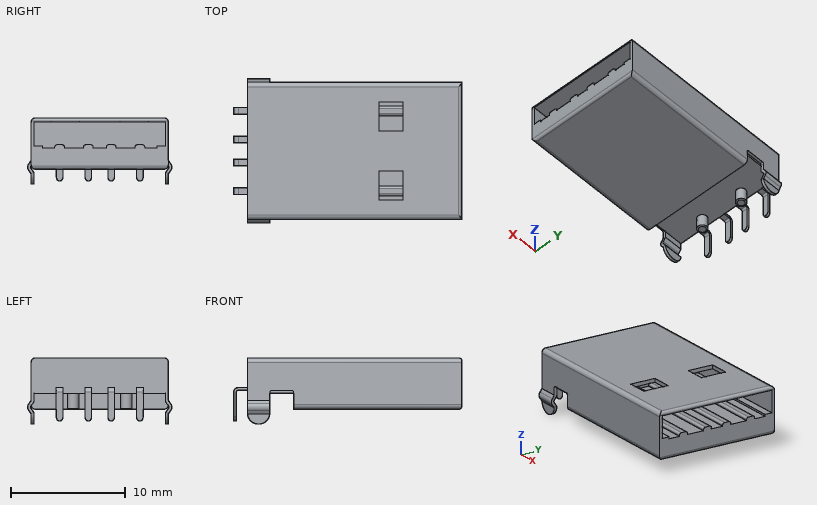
import cadquery as cq
import math

shell_length = 18.73
shell_width = 12.0
shell_height = 4.5
sheet = 0.28
long_edge_radius = 0.4
mouth_edge_radius = 0.28
inner_half_width = shell_width / 2 - sheet

rear_length = 4.04
rear_underside = 1.39
notch_top = 1.63
notch_corner_radius = 0.13

tab_width = 1.97
tab_bottom = -1.3
tab_tip_radius = tab_width / 2
bulge_z = 0.19
bulge_reach = 0.305
bulge_outer_half_height = 0.59
bulge_outer_arc_half = 0.3
bulge_outer_arc_reach = 0.19
bulge_inner_half_height = 0.5
bulge_inner_arc_half = 0.14
bulge_inner_arc_reach = bulge_reach - 0.06

opening_depth = 11.75
opening_start = shell_length - opening_depth
roof_thickness = 0.36
ledge_top = 2.03
tongue_top = 1.85
channel_half_width = 5.0

contact_positions = (-3.5, -1.0, 1.0, 3.5)
contact_width = 0.86
contact_top = 2.15
contact_edge_radius = 0.22
pin_width = 0.6
pin_thickness = 0.25
pin_top = 1.91
pin_reach = 1.2
pin_bottom = -1.03
pin_bend_radius = 0.42
pin_tip_length = 0.39
pin_root = 1.0

window_start = 11.5
window_length = 2.07
window_width = 2.52
window_offset = 3.01

peg_diameter = 1.0
peg_x = 0.9
peg_offset = 2.32
peg_bottom = 0.03
peg_chamfer_height = 0.15
peg_chamfer_inset = 0.05


def block(x_range, y_range, z_range):
    """Box spanning the given (low, high) ranges."""
    lows, highs = zip(x_range, y_range, z_range)
    size = [high - low for low, high in zip(lows, highs)]
    return cq.Workplane("XY").box(*size, centered=False).translate(lows)


def centred(half):
    return (-half, half)


def make_body():
    """Rounded plug block with the rear underside cut away and side notches."""
    half_width = shell_width / 2
    body = block((0, shell_length), centred(half_width), (0, shell_height))
    rounded_mouth = body.edges("|Y and >X").fillet(mouth_edge_radius)
    body = body.edges("|X").fillet(long_edge_radius).intersect(rounded_mouth)
    body = body.cut(block((0, rear_length), centred(inner_half_width), (0, rear_underside)))
    notch = block((tab_width, rear_length), centred(half_width), (-notch_top, notch_top))
    notch = notch.edges("|Y and >Z").fillet(notch_corner_radius)
    rear_core = block((0, rear_length), centred(inner_half_width), (rear_underside, shell_height))
    body = body.cut(notch.cut(rear_core))
    below_tab_bend = block((0, tab_width), centred(half_width), (0, bulge_z + bulge_outer_half_height))
    return body.cut(below_tab_bend.cut(rear_core))


def make_tab():
    """Mounting tab on the +Y side: bulged sheet with a round tip."""
    outer = shell_width / 2
    inner = inner_half_width
    top = rear_underside
    profile = (
        cq.Workplane("YZ")
        .moveTo(inner, top)
        .lineTo(outer, top)
        .lineTo(outer, bulge_z + bulge_outer_half_height)
        .lineTo(outer + bulge_outer_arc_reach, bulge_z + bulge_outer_arc_half)
        .threePointArc(
            (outer + bulge_reach, bulge_z),
            (outer + bulge_outer_arc_reach, bulge_z - bulge_outer_arc_half),
        )
        .lineTo(outer, bulge_z - bulge_outer_half_height)
        .lineTo(outer, tab_bottom)
        .lineTo(inner, tab_bottom)
        .lineTo(inner, bulge_z - bulge_inner_half_height)
        .lineTo(inner + bulge_inner_arc_reach, bulge_z - bulge_inner_arc_half)
        .threePointArc(
            (inner + bulge_reach, bulge_z),
            (inner + bulge_inner_arc_reach, bulge_z + bulge_inner_arc_half),
        )
        .lineTo(inner, bulge_z + bulge_inner_half_height)
        .close()
        .extrude(tab_width)
    )
    side_outline = (
        cq.Workplane("XZ")
        .moveTo(0, top)
        .lineTo(0, tab_bottom + tab_tip_radius)
        .threePointArc((tab_tip_radius, tab_bottom), (tab_width, tab_bottom + tab_tip_radius))
        .lineTo(tab_width, top)
        .close()
        .extrude(shell_width, both=True)
    )
    return profile.intersect(side_outline)


def make_opening():
    """Plug opening: full-width cavity above the tongue, with a shallow channel for the contacts."""
    x_range = (opening_start, shell_length)
    upper = block(x_range, centred(inner_half_width), (ledge_top, shell_height - roof_thickness))
    channel = block(x_range, centred(channel_half_width), (tongue_top, ledge_top))
    return upper.union(channel)


def make_window(side):
    y_middle = side * window_offset
    y_range = (y_middle - window_width / 2, y_middle + window_width / 2)
    x_range = (window_start, window_start + window_length)
    return block(x_range, y_range, (shell_height - roof_thickness, shell_height))


def make_contact(y):
    """Contact strip lying on the tongue, with rounded long edges."""
    half = contact_width / 2
    strip = block((opening_start, shell_length), (y - half, y + half), (tongue_top, contact_top))
    return strip.edges("|X and >Z").fillet(contact_edge_radius)


def make_pin(y):
    """Right-angle solder pin leaving the rear face and turning down."""
    inner_radius = pin_bend_radius - pin_thickness
    bend_x = -pin_reach + pin_bend_radius
    bend_z = pin_top - pin_bend_radius
    diagonal = math.sqrt(0.5)
    pin = (
        cq.Workplane("XZ", origin=(0, y, 0))
        .moveTo(pin_root, pin_top)
        .lineTo(bend_x, pin_top)
        .threePointArc(
            (bend_x - pin_bend_radius * diagonal, bend_z + pin_bend_radius * diagonal),
            (-pin_reach, bend_z),
        )
        .lineTo(-pin_reach, pin_bottom)
        .lineTo(-pin_reach + pin_thickness, pin_bottom)
        .lineTo(-pin_reach + pin_thickness, bend_z)
        .threePointArc(
            (bend_x - inner_radius * diagonal, bend_z + inner_radius * diagonal),
            (bend_x, pin_top - pin_thickness),
        )
        .lineTo(pin_root, pin_top - pin_thickness)
        .close()
        .extrude(pin_width / 2, both=True)
    )
    tip_z = pin_bottom + pin_tip_length
    half_width = pin_width / 2
    rounded_tip = (
        cq.Workplane("YZ", origin=(-pin_reach, y, tip_z))
        .ellipse(half_width, pin_tip_length)
        .extrude(pin_reach)
    )
    above_tip = block((-pin_reach, pin_root), (y - half_width, y + half_width), (tip_z, pin_top))
    return pin.intersect(above_tip.union(rounded_tip))


def make_peg(side):
    peg = (
        cq.Workplane("XY", origin=(peg_x, side * peg_offset, peg_bottom))
        .circle(peg_diameter / 2)
        .extrude(rear_underside - peg_bottom)
    )
    return peg.faces("<Z").chamfer(peg_chamfer_inset, peg_chamfer_height)


result = make_body().cut(make_opening())
tab = make_tab()
result = result.union(tab).union(tab.mirror("XZ"))
for side in (-1, 1):
    result = result.cut(make_window(side))
    result = result.union(make_peg(side))
for contact_y in contact_positions:
    result = result.union(make_contact(contact_y))
    result = result.union(make_pin(contact_y))